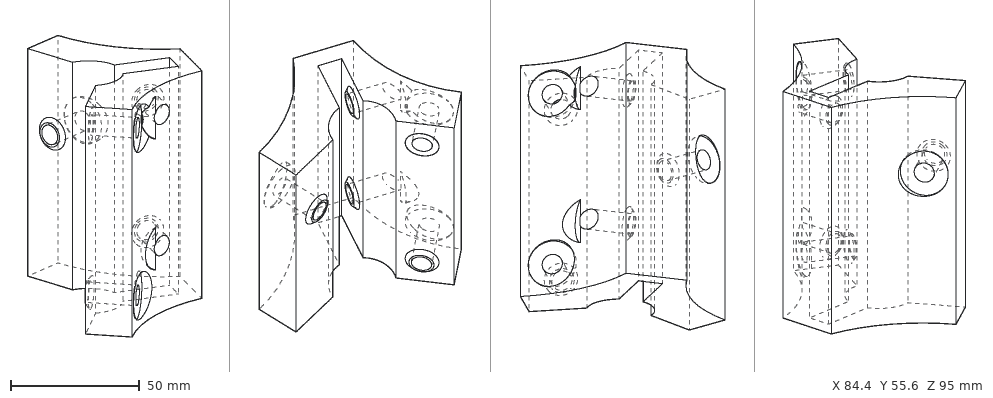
import cadquery as cq
import math

height = 95.0
slot_half_width = 4.9
leg_reach = 35.2
back_thickness = 7.0
back_half_width = 12.5
half_leg_top = 23.4
bore_radius = 13.3
flank_sagitta = 5.2

hole_along = 22.6
hole_diameter = 8.0
boss_base_diameter = 13.3
boss_top_diameter = 9.9
boss_height = 1.6
seat_depth = 0.1
spotface_diameter = 19.0
spotface_offset = 23.3
tool_reach = 38.0

left_leg_hole_height = 62.6
right_leg_boss_height = 12.5
slot_lower_boss_height = 27.7
top_hole_height = 82.5

LEFT_LEG_ANGLE = 210
RIGHT_LEG_ANGLE = 330
SLOT_ANGLE = 90


def leg_point(angle, along, offset):
    """XY point given by its distance along a leg and its signed offset to the left of it."""
    c = math.cos(math.radians(angle))
    s = math.sin(math.radians(angle))
    return (along * c - offset * s, along * s + offset * c)


def mirrored(point):
    return (-point[0], point[1])


def arc_middle(start, end, sagitta):
    """Middle of an arc that bulges to the left of the line from start to end."""
    dx = end[0] - start[0]
    dy = end[1] - start[1]
    length = math.hypot(dx, dy)
    x = (start[0] + end[0]) / 2 - sagitta * dy / length
    y = (start[1] + end[1]) / 2 + sagitta * dx / length
    return (x, y)


def make_block():
    bore_along = math.sqrt(bore_radius**2 - slot_half_width**2)
    back_corner = (back_half_width, leg_reach + back_thickness)
    outer_corner = leg_point(RIGHT_LEG_ANGLE, leg_reach, half_leg_top)
    inner_corner = leg_point(RIGHT_LEG_ANGLE, leg_reach, slot_half_width)
    face_end = leg_point(RIGHT_LEG_ANGLE, bore_along, slot_half_width)
    bore_middle = leg_point(30, bore_radius, 0)
    slot_mouth = (slot_half_width, bore_along)
    slot_corner = (slot_half_width, leg_reach)
    flank_middle = arc_middle(outer_corner, back_corner, flank_sagitta)
    return (
        cq.Workplane("XY")
        .moveTo(*back_corner)
        .threePointArc(flank_middle, outer_corner)
        .lineTo(*inner_corner)
        .lineTo(*face_end)
        .threePointArc(bore_middle, slot_mouth)
        .lineTo(*slot_corner)
        .lineTo(*mirrored(slot_corner))
        .lineTo(*mirrored(slot_mouth))
        .threePointArc(mirrored(bore_middle), mirrored(face_end))
        .lineTo(*mirrored(inner_corner))
        .lineTo(*mirrored(outer_corner))
        .threePointArc(mirrored(flank_middle), mirrored(back_corner))
        .close()
        .extrude(height)
    )


def add_screw_hole(body, angle, side, z, has_boss):
    """Drill a spotfaced hole on the given side of a leg (1 left, -1 right), with a boss or a seat."""
    direction = cq.Vector(*leg_point(angle, 0, side), 0)

    def center_at(offset):
        return cq.Vector(*leg_point(angle, hole_along, side * offset), z)

    def cylinder(diameter, start, end):
        return cq.Solid.makeCylinder(diameter / 2, end - start, center_at(start), direction)

    if has_boss:
        boss = cq.Solid.makeCone(
            boss_top_diameter / 2, boss_base_diameter / 2, boss_height,
            center_at(slot_half_width - boss_height), direction,
        )
        body = body.union(cq.Workplane(boss))
    else:
        seat = cylinder(boss_base_diameter, slot_half_width, slot_half_width + seat_depth)
        body = body.cut(cq.Workplane(seat))
    hole = cylinder(hole_diameter, slot_half_width - boss_height, tool_reach)
    spotface = cylinder(spotface_diameter, spotface_offset, tool_reach)
    return body.cut(cq.Workplane(hole)).cut(cq.Workplane(spotface))


screw_holes = [
    (LEFT_LEG_ANGLE, -1, left_leg_hole_height, True),
    (RIGHT_LEG_ANGLE, 1, right_leg_boss_height, True),
    (RIGHT_LEG_ANGLE, 1, top_hole_height, False),
    (SLOT_ANGLE, -1, slot_lower_boss_height, True),
    (SLOT_ANGLE, -1, top_hole_height, True),
]

result = make_block()
for leg_angle, leg_side, hole_height, has_boss in screw_holes:
    result = add_screw_hole(result, leg_angle, leg_side, hole_height, has_boss)